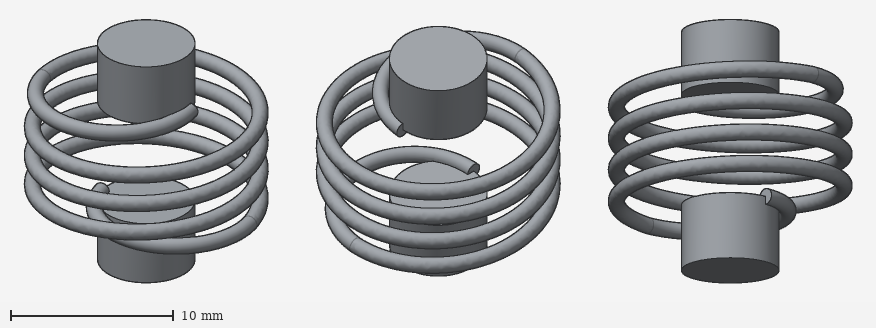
import cadquery as cq

total_height = 15.16
coil_outer_diameter = 15.0
wire_diameter = 1.0
post_diameter = 6.0
top_post_height = 4.0
pitch = 2.0
turns = 3.5

wire_radius = wire_diameter / 2
post_radius = post_diameter / 2
coil_radius = coil_outer_diameter / 2 - wire_radius
coil_rise = pitch * turns
coil_top = total_height - top_post_height
coil_bottom = coil_top - coil_rise
hook_radius = (coil_radius + post_radius) / 2
hook_offset = coil_radius - hook_radius


def post(bottom, top):
    """Round post on the Z axis."""
    return cq.Workplane("XY").workplane(offset=bottom).circle(post_radius).extrude(top - bottom)


def wire_section(x, z):
    """Round wire section in the XZ plane."""
    return cq.Workplane("XZ").center(x, z).circle(wire_radius)


def helical_coil():
    """Right-handed coil that starts on +X and ends on -X after its last half turn."""
    path = cq.Wire.makeHelix(pitch, coil_rise, coil_radius).translate(cq.Vector(0, 0, coil_bottom))
    return wire_section(coil_radius, coil_bottom).sweep(cq.Workplane(obj=path), isFrenet=True)


def end_hook(center_x, z):
    """Flat half circle of wire on the -Y side, leading from the coil onto a post."""
    path = (
        cq.Workplane("XY", origin=(center_x, 0, z))
        .moveTo(-hook_radius, 0)
        .threePointArc((0, -hook_radius), (hook_radius, 0))
    )
    return wire_section(center_x - hook_radius, z).sweep(path)


bottom_post = post(0, coil_bottom)
top_post = post(coil_top, total_height)
bottom_hook = end_hook(hook_offset, coil_bottom)
top_hook = end_hook(-hook_offset, coil_top)

result = helical_coil().union(bottom_hook).union(top_hook).union(bottom_post).union(top_post)